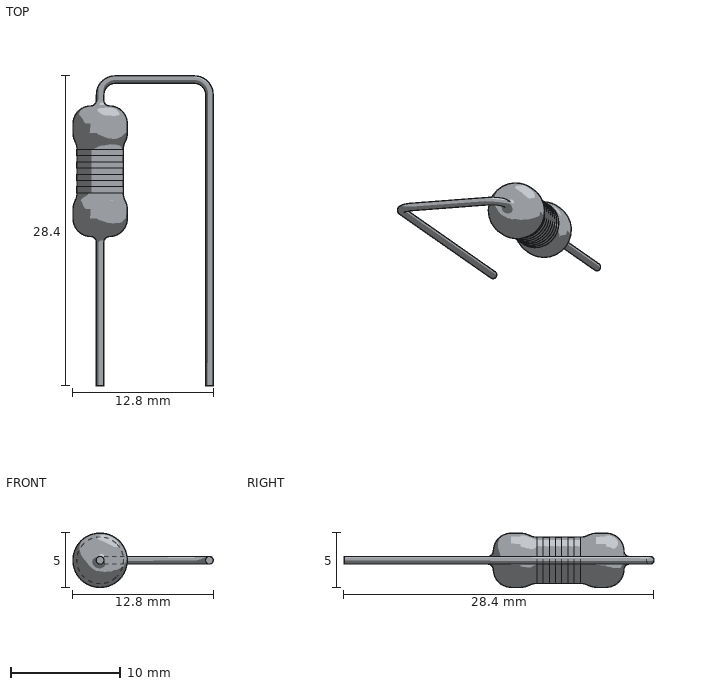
import cadquery as cq
import math


total_length = 28.35
lead_diameter = 0.7
lead_pitch = 9.993
bend_radius = 1.4
lead_radius = lead_diameter / 2

body_center_y = 19.62
cap_radius = 5.0 / 2
waist_radius = 4.25 / 2
band_radius = 4.28 / 2
band_count = 4
band_width = 0.57
waist_half_length = band_width * (2 * band_count - 1) / 2
cap_inner = 3.45
cap_outer = 4.35
neck_fillet = 0.495
neck_base_radius = lead_radius + neck_fillet
dome_radius = cap_radius - neck_base_radius
body_half_length = cap_outer + dome_radius


def make_body_end(direction):
    """Revolve one cap with its shoulder and neck; direction is +1 or -1 along Y."""

    def point(radius, distance):
        return (radius, body_center_y + direction * distance)

    diagonal = math.sqrt(0.5)
    neck_end = body_half_length + neck_fillet

    shoulder_radius_mid = (waist_radius + cap_radius) / 2
    shoulder_mid = (waist_half_length + cap_inner) / 2
    shoulder_rise = shoulder_radius_mid - waist_radius
    shoulder_run = shoulder_mid - waist_half_length
    shoulder_chord = math.hypot(shoulder_rise, shoulder_run)
    shoulder_angle = math.atan2(shoulder_rise, shoulder_run)
    shoulder_bulge = shoulder_chord / 2 * math.tan(shoulder_angle / 2)

    profile = (
        cq.Workplane("XY")
        .moveTo(*point(0, waist_half_length))
        .lineTo(*point(waist_radius, waist_half_length))
        .sagittaArc(point(shoulder_radius_mid, shoulder_mid), direction * shoulder_bulge)
        .sagittaArc(point(cap_radius, cap_inner), -direction * shoulder_bulge)
        .lineTo(*point(cap_radius, cap_outer))
        .threePointArc(
            point(neck_base_radius + dome_radius * diagonal, cap_outer + dome_radius * diagonal),
            point(neck_base_radius, body_half_length),
        )
        .threePointArc(
            point(neck_base_radius - neck_fillet * diagonal, neck_end - neck_fillet * diagonal),
            point(lead_radius, neck_end),
        )
        .lineTo(*point(0, neck_end))
        .close()
    )
    return profile.revolve(360, (0, 0, 0), (0, 1, 0))


def make_waist():
    """Plain cylinder between the two shoulders."""
    return (
        cq.Workplane("XZ", origin=(0, body_center_y - waist_half_length, 0))
        .circle(waist_radius)
        .extrude(-2 * waist_half_length)
    )


def make_band(start_y):
    """Raised color band around the waist, starting at start_y."""
    return (
        cq.Workplane("XZ", origin=(0, start_y, 0))
        .circle(band_radius)
        .extrude(-band_width)
    )


def make_straight_lead():
    """Lead from its tip at Y = 0 up into the body."""
    return cq.Workplane("XZ").circle(lead_radius).extrude(-body_center_y)


def make_bent_lead():
    """Lead leaving the far end of the body and folding back to Y = 0."""
    cross_y = total_length - lead_radius
    bend_start_y = cross_y - bend_radius
    path = (
        cq.Workplane("XY")
        .moveTo(0, body_center_y)
        .lineTo(0, bend_start_y)
        .tangentArcPoint((bend_radius, cross_y), relative=False)
        .lineTo(lead_pitch - bend_radius, cross_y)
        .tangentArcPoint((lead_pitch, bend_start_y), relative=False)
        .lineTo(lead_pitch, 0)
    )
    return cq.Workplane("XZ", origin=(0, body_center_y, 0)).circle(lead_radius).sweep(path)


result = make_waist().union(make_body_end(1)).union(make_body_end(-1))
for index in range(band_count):
    band_start_y = body_center_y - waist_half_length + 2 * index * band_width
    result = result.union(make_band(band_start_y))
result = result.union(make_straight_lead()).union(make_bent_lead())